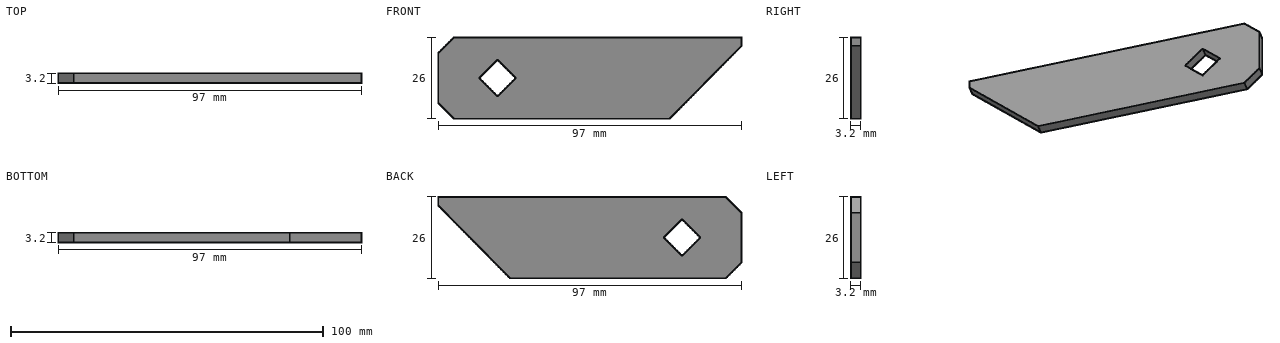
import cadquery as cq

length = 97.0
thickness = 3.2
height = 26.0
corner_chamfer = 5.0

tip_height = 2.7
slope_run = 23.0

hole_diagonal = 11.6
hole_from_left = 19.0

outline = [
    (corner_chamfer, 0),
    (length - slope_run, 0),
    (length, height - tip_height),
    (length, height),
    (corner_chamfer, height),
    (0, height - corner_chamfer),
    (0, corner_chamfer),
]

plate = cq.Workplane("XZ").polyline(outline).close().extrude(-thickness)

hole = (
    cq.Workplane("XZ")
    .center(hole_from_left, height / 2)
    .polygon(4, hole_diagonal)
    .extrude(-thickness)
)

result = plate.cut(hole)